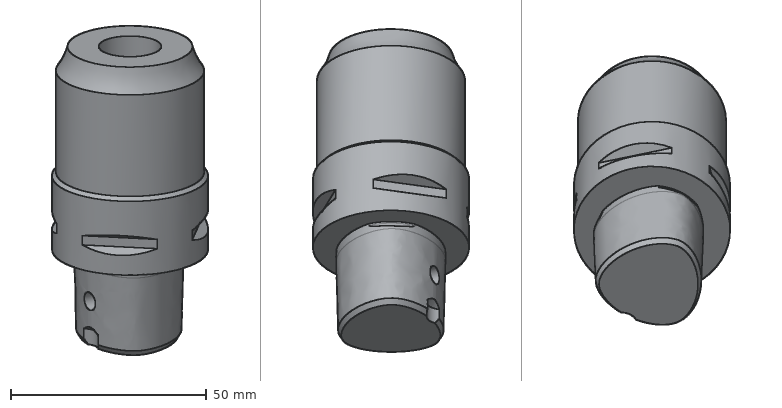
import cadquery as cq
import math

TOTAL_HEIGHT = 79.0
FLANGE_BOTTOM = 24.0
FLANGE_TOP = 45.0
NOSE_LENGTH = 6.5

FLANGE_RADIUS = 20.0
BODY_RADIUS = 19.0
NOSE_TIP_RADIUS = 16.0
NOSE_CURVE_SAG = 0.35
FLANGE_CHAMFER = FLANGE_RADIUS - BODY_RADIUS

BORE_DIAMETER = 16.0
BORE_DEPTH = 48.0

SHANK_WIDTH = 28.05
LOBE_ECCENTRICITY = 0.9
TAPER_RATIO = 1 / 20
COLLAR_HEIGHT = 2.5
TIP_CHAMFER_HEIGHT = 1.5
TIP_CHAMFER_ANGLE = 30.0
TIP_CHAMFER_INSET = TIP_CHAMFER_HEIGHT * math.tan(math.radians(TIP_CHAMFER_ANGLE))
OUTLINE_POINTS = 72

RELIEF_RADIUS = 14.02
RELIEF_STRAIGHT_HEIGHT = 0.4
RELIEF_FILLET_RADIUS = 1.2
RELIEF_FLARE_ANGLE = 45.0
RELIEF_OUTER_RADIUS = 16.0

GROOVE_COUNT = 4
GROOVE_START_ANGLE = 45.0
GROOVE_CENTER_HEIGHT = 32.0
GROOVE_FLOOR_DISTANCE = 17.5
GROOVE_FLOOR_HEIGHT = 2.5
GROOVE_WALL_ANGLE = 30.0
GROOVE_CUTTER_OVERHANG = 1.0

SIDE_HOLE_DIAMETER = 4.8
SIDE_HOLE_HEIGHT = 12.6
SIDE_HOLE_FLOOR_DISTANCE = 9.0
SIDE_HOLE_POINT_ANGLE = 118.0

NOTCH_RADIUS = 4.0
NOTCH_AXIS_DISTANCE = 15.0
NOTCH_HEIGHT = 4.2
NOTCH_POINT_ANGLE = 104.0


def lobed_outline(width, height):
    """Closed constant-width curve with three lobes, lying at the given height."""
    mean_radius = width / 2
    points = []
    for i in range(OUTLINE_POINTS):
        angle = 2 * math.pi * i / OUTLINE_POINTS
        support = mean_radius - LOBE_ECCENTRICITY * math.sin(3 * angle)
        slope = -3 * LOBE_ECCENTRICITY * math.cos(3 * angle)
        x = support * math.cos(angle) - slope * math.sin(angle)
        y = support * math.sin(angle) + slope * math.cos(angle)
        points.append(cq.Vector(x, y, height))
    edge = cq.Edge.makeSpline(points, periodic=True)
    return cq.Wire.assembleEdges([edge])


def make_shank():
    """Lobed shank: chamfered tip, tapered middle and straight collar."""
    taper_bottom = TIP_CHAMFER_HEIGHT
    taper_top = FLANGE_BOTTOM - COLLAR_HEIGHT
    bottom_width = SHANK_WIDTH - TAPER_RATIO * (taper_top - taper_bottom)
    tip_width = bottom_width - 2 * TIP_CHAMFER_INSET
    outlines = [
        lobed_outline(tip_width, 0),
        lobed_outline(bottom_width, taper_bottom),
        lobed_outline(SHANK_WIDTH, taper_top),
        lobed_outline(SHANK_WIDTH, FLANGE_BOTTOM),
    ]
    shank = cq.Workplane(cq.Solid.makeLoft(outlines[:2], True))
    for lower, upper in zip(outlines[1:], outlines[2:]):
        shank = shank.union(cq.Workplane(cq.Solid.makeLoft([lower, upper], True)))
    return shank


def make_relief():
    """Ring-shaped cutter with a filleted and flared lower side, just under the flange."""
    flare_angle = math.radians(RELIEF_FLARE_ANGLE)
    straight_bottom = FLANGE_BOTTOM - RELIEF_STRAIGHT_HEIGHT
    fillet_center_radius = RELIEF_RADIUS + RELIEF_FILLET_RADIUS

    def fillet_point(angle):
        return (
            fillet_center_radius - RELIEF_FILLET_RADIUS * math.cos(angle),
            straight_bottom - RELIEF_FILLET_RADIUS * math.sin(angle),
        )

    fillet_end = fillet_point(flare_angle)
    outer_bottom = fillet_end[1] - (RELIEF_OUTER_RADIUS - fillet_end[0]) / math.tan(flare_angle)
    return (
        cq.Workplane("XZ")
        .moveTo(RELIEF_RADIUS, FLANGE_BOTTOM)
        .lineTo(RELIEF_RADIUS, straight_bottom)
        .threePointArc(fillet_point(flare_angle / 2), fillet_end)
        .lineTo(RELIEF_OUTER_RADIUS, outer_bottom)
        .lineTo(RELIEF_OUTER_RADIUS, FLANGE_BOTTOM)
        .close()
        .revolve(360, (0, 0, 0), (0, 1, 0))
    )


def make_body():
    """Flange, cylindrical body and concave nose, with the bore."""
    nose_bottom = TOTAL_HEIGHT - NOSE_LENGTH
    nose_narrowing = BODY_RADIUS - NOSE_TIP_RADIUS
    slant = math.hypot(nose_narrowing, NOSE_LENGTH)
    curve_mid_radius = (BODY_RADIUS + NOSE_TIP_RADIUS) / 2 - NOSE_CURVE_SAG * NOSE_LENGTH / slant
    curve_mid_height = (nose_bottom + TOTAL_HEIGHT) / 2 - NOSE_CURVE_SAG * nose_narrowing / slant
    body = (
        cq.Workplane("XZ")
        .moveTo(0, FLANGE_BOTTOM)
        .lineTo(FLANGE_RADIUS, FLANGE_BOTTOM)
        .lineTo(FLANGE_RADIUS, FLANGE_TOP - FLANGE_CHAMFER)
        .lineTo(BODY_RADIUS, FLANGE_TOP)
        .lineTo(BODY_RADIUS, nose_bottom)
        .threePointArc((curve_mid_radius, curve_mid_height), (NOSE_TIP_RADIUS, TOTAL_HEIGHT))
        .lineTo(0, TOTAL_HEIGHT)
        .close()
        .revolve(360, (0, 0, 0), (0, 1, 0))
    )
    return body.faces(">Z").workplane().hole(BORE_DIAMETER, BORE_DEPTH)


def make_groove(angle):
    """Trapezoidal cutter for one gripper groove, facing the given direction."""
    reach = FLANGE_RADIUS + GROOVE_CUTTER_OVERHANG
    half_floor = GROOVE_FLOOR_HEIGHT / 2
    wall_rise = (reach - GROOVE_FLOOR_DISTANCE) * math.tan(math.radians(GROOVE_WALL_ANGLE))
    half_mouth = half_floor + wall_rise
    return (
        cq.Workplane("XZ", origin=(0, 0, GROOVE_CENTER_HEIGHT))
        .moveTo(GROOVE_FLOOR_DISTANCE, -half_floor)
        .lineTo(reach, -half_mouth)
        .lineTo(reach, half_mouth)
        .lineTo(GROOVE_FLOOR_DISTANCE, half_floor)
        .close()
        .extrude(FLANGE_RADIUS, both=True)
        .rotate((0, 0, 0), (0, 0, 1), angle)
    )


def make_drill(radius, length, point_angle):
    """Pointed drill along +Z: cylinder from the origin, with its point beyond the length."""
    point_length = radius / math.tan(math.radians(point_angle / 2))
    return (
        cq.Workplane("XZ")
        .lineTo(radius, 0)
        .lineTo(radius, length)
        .lineTo(0, length + point_length)
        .close()
        .revolve(360, (0, 0, 0), (0, 1, 0))
    )


def make_side_hole():
    """Drill entering the shank horizontally from the -Y side."""
    start = SHANK_WIDTH / 2
    drill = make_drill(SIDE_HOLE_DIAMETER / 2, start - SIDE_HOLE_FLOOR_DISTANCE, SIDE_HOLE_POINT_ANGLE)
    return drill.rotate((0, 0, 0), (1, 0, 0), -90).translate((0, -start, SIDE_HOLE_HEIGHT))


def make_notch():
    """Drill entering from below, with its axis outside the shank."""
    drill = make_drill(NOTCH_RADIUS, NOTCH_HEIGHT, NOTCH_POINT_ANGLE)
    return drill.translate((0, -NOTCH_AXIS_DISTANCE, 0))


shank = make_shank().cut(make_relief()).cut(make_side_hole()).cut(make_notch())
result = make_body().union(shank)
for i in range(GROOVE_COUNT):
    result = result.cut(make_groove(GROOVE_START_ANGLE + i * 360 / GROOVE_COUNT))